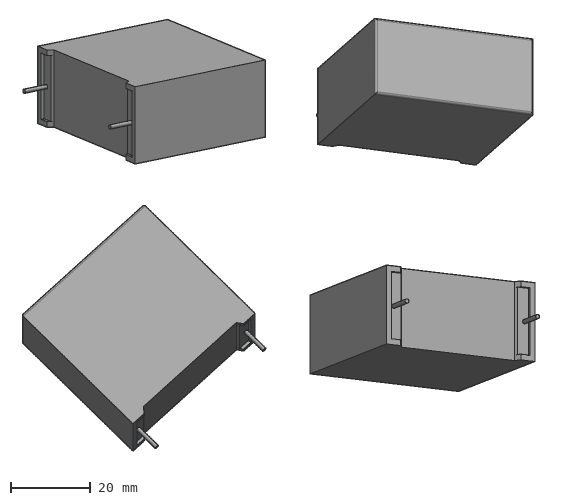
import cadquery as cq

CASE_WIDTH = 42.5
CASE_HEIGHT = 20.3
TOTAL_LENGTH = 46.3
LEAD_EXPOSED = 5.95

WALL = 1.5
FOOT_WIDTH = 4.05
FOOT_SLOPE = 1.05
RECESS_DEPTH = 1.5
WINDOW_WIDTH = 3.15
FILL_SETBACK = 0.85
EDGE_RADIUS = 0.6

LEAD_PITCH = 37.4
LEAD_DIAMETER = 1.1

half_width = CASE_WIDTH / 2
foot_y = LEAD_EXPOSED
recess_y = foot_y + RECESS_DEPTH
fill_y = foot_y + FILL_SETBACK
cavity_front_y = recess_y + WALL
cavity_back_y = TOTAL_LENGTH - WALL
cavity_half_width = half_width - WALL
cavity_height = CASE_HEIGHT - 2 * WALL
window_x = cavity_half_width - WINDOW_WIDTH / 2
SIDES = (-1, 1)


def block(width, y_start, y_end, height, x_centre=0):
    """Box centred on Z, spanning y_start to y_end."""
    length = y_end - y_start
    return cq.Workplane("XY").box(width, length, height).translate((x_centre, y_start + length / 2, 0))


def cavity(leg_start_y):
    """Inner space with a leg reaching through each foot to leg_start_y."""
    space = block(2 * cavity_half_width, cavity_front_y, cavity_back_y, cavity_height)
    for side in SIDES:
        space = space.union(block(WINDOW_WIDTH, leg_start_y, cavity_back_y, cavity_height, side * window_x))
    return space


def outer_case():
    """Solid outer form: rounded back edges and a sloped recess between two feet."""
    slope_start = half_width - FOOT_WIDTH
    slope_end = slope_start - FOOT_SLOPE
    body = block(CASE_WIDTH, foot_y, TOTAL_LENGTH, CASE_HEIGHT)
    body = body.faces(">Y").fillet(EDGE_RADIUS)
    recess = (
        cq.Workplane("XY")
        .polyline([
            (-slope_start, foot_y),
            (-slope_end, recess_y),
            (slope_end, recess_y),
            (slope_start, foot_y),
        ])
        .close()
        .extrude(CASE_HEIGHT / 2, both=True)
    )
    return body.cut(recess)


def make_case(outer):
    """Hollow case, open through a window in each foot."""
    return outer.cut(cavity(foot_y))


def make_filling(outer):
    """Potting that fills the case and shows at the bottom of each window."""
    return cavity(fill_y).intersect(outer)


def make_lead(side):
    """Round wire standing on the filling inside a window."""
    return (
        cq.Workplane("XZ")
        .center(side * LEAD_PITCH / 2, 0)
        .circle(LEAD_DIAMETER / 2)
        .extrude(-fill_y)
    )


outer = outer_case()
case = make_case(outer)
filling = make_filling(outer)
leads = [make_lead(side).val() for side in SIDES]

result = cq.Compound.makeCompound([case.val(), filling.val(), *leads])